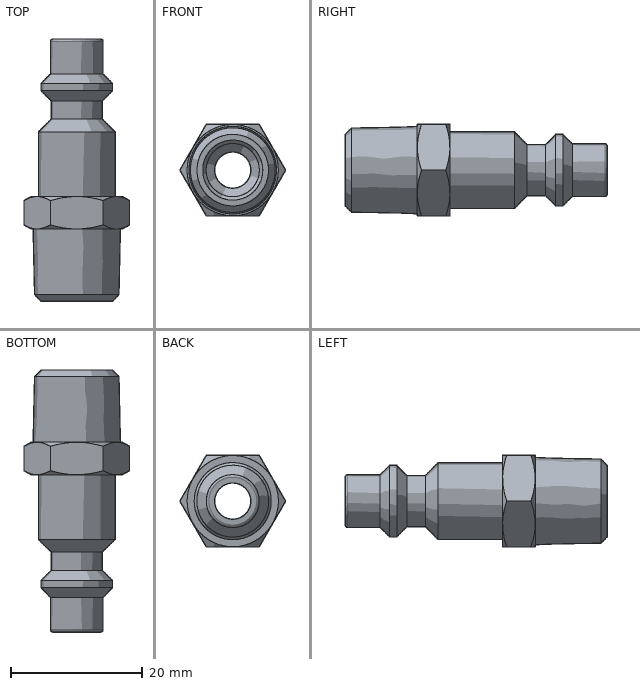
import cadquery as cq
import math

length = 40.0
front_y = -length / 2
rear_y = length / 2

thread_root_diameter = 13.35
thread_end_diameter = 12.9
thread_length = 11.0
thread_chamfer = 1.0

hex_across_flats = 14.0
hex_width = 5.0
hex_face_diameter = 13.9
hex_chamfer_angle = 30.0

body_diameter = 11.75
shoulder_bottom = 14.15
neck_diameter = 7.85
neck_bottom = 12.25
neck_top = 9.45
collar_diameter = 10.95
collar_bottom = 7.9
collar_top = 6.8
tip_diameter = 8.1
tip_length = 5.3
tip_fillet = 0.4

bore_diameter = 8.1
bore_depth = 16.0
bore_mouth_chamfer = 0.5
through_diameter = 5.5
drill_point_angle = 118.0

hex_front_y = front_y + thread_length
hex_rear_y = hex_front_y + hex_width


def revolve_profile(points):
    """Turn a closed (radius, y) outline about the Y axis."""
    return cq.Workplane("XY").polyline(points).close().revolve(360, (0, 0, 0), (0, 1, 0))


def make_thread_end():
    end_radius = thread_end_diameter / 2
    return revolve_profile([
        (0, front_y),
        (end_radius - thread_chamfer, front_y),
        (end_radius, front_y + thread_chamfer),
        (thread_root_diameter / 2, hex_front_y),
        (0, hex_front_y),
    ])


def make_hexagon():
    corner_diameter = hex_across_flats / math.cos(math.radians(30))
    prism = (
        cq.Workplane("XZ", origin=(0, hex_rear_y, 0))
        .polygon(6, corner_diameter)
        .extrude(hex_width)
    )
    face_radius = hex_face_diameter / 2
    cone_slope = math.tan(math.radians(hex_chamfer_angle))
    apex_radius = face_radius + hex_width / 2 / cone_slope
    trimming_cone = revolve_profile([
        (0, hex_front_y),
        (face_radius, hex_front_y),
        (apex_radius, (hex_front_y + hex_rear_y) / 2),
        (face_radius, hex_rear_y),
        (0, hex_rear_y),
    ])
    return prism.intersect(trimming_cone)


def make_plug():
    plug = revolve_profile([
        (0, hex_rear_y),
        (body_diameter / 2, hex_rear_y),
        (body_diameter / 2, rear_y - shoulder_bottom),
        (neck_diameter / 2, rear_y - neck_bottom),
        (neck_diameter / 2, rear_y - neck_top),
        (collar_diameter / 2, rear_y - collar_bottom),
        (collar_diameter / 2, rear_y - collar_top),
        (tip_diameter / 2, rear_y - tip_length),
        (tip_diameter / 2, rear_y),
        (0, rear_y),
    ])
    return plug.faces(">Y").edges().fillet(tip_fillet)


def make_bore():
    bore_radius = bore_diameter / 2
    through_radius = through_diameter / 2
    cone_length = (bore_radius - through_radius) / math.tan(math.radians(drill_point_angle / 2))
    return revolve_profile([
        (0, front_y),
        (bore_radius + bore_mouth_chamfer, front_y),
        (bore_radius, front_y + bore_mouth_chamfer),
        (bore_radius, front_y + bore_depth),
        (through_radius, front_y + bore_depth + cone_length),
        (through_radius, rear_y),
        (0, rear_y),
    ])


result = make_thread_end().union(make_hexagon()).union(make_plug()).cut(make_bore())